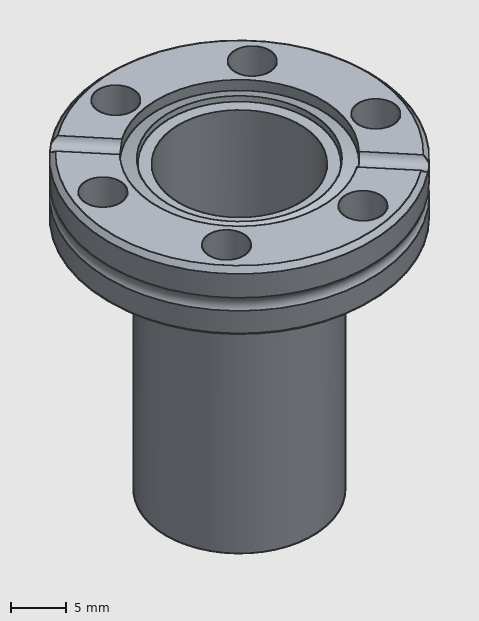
import cadquery as cq
import math

total_height = 38.0
flange_diameter = 34.0
flange_thickness = 7.7
tube_diameter = 19.05
bore_diameter = 15.75
top_chamfer = 0.55
bottom_chamfer = 0.45

rim_groove_start = 3.23
rim_groove_end = 4.7
rim_groove_depth = 0.25

recess_diameter = 21.45
recess_depth = 1.2
knife_diameter = 18.4
knife_tip_depth = 0.65
knife_inner_lean = 0.1

bolt_count = 6
bolt_circle_diameter = 26.98
bolt_hole_diameter = 4.4

leak_groove_width = 2.28
leak_groove_depth = 0.7
leak_groove_angle = 30.0

flange_radius = flange_diameter / 2
tube_radius = tube_diameter / 2
bore_radius = bore_diameter / 2
recess_radius = recess_diameter / 2
knife_radius = knife_diameter / 2
flange_bottom = total_height - flange_thickness
recess_floor = total_height - recess_depth


def turned_body():
    """Revolve the half section of the tube, flange, rim groove and knife edge."""
    rim_groove_middle = (rim_groove_start + rim_groove_end) / 2
    return (
        cq.Workplane("XZ")
        .moveTo(bore_radius, 0)
        .lineTo(tube_radius, 0)
        .lineTo(tube_radius, flange_bottom)
        .lineTo(flange_radius - bottom_chamfer, flange_bottom)
        .lineTo(flange_radius, flange_bottom + bottom_chamfer)
        .lineTo(flange_radius, total_height - rim_groove_end)
        .threePointArc(
            (flange_radius - rim_groove_depth, total_height - rim_groove_middle),
            (flange_radius, total_height - rim_groove_start),
        )
        .lineTo(flange_radius, total_height - top_chamfer)
        .lineTo(flange_radius - top_chamfer, total_height)
        .lineTo(recess_radius, total_height)
        .lineTo(recess_radius, recess_floor)
        .lineTo(knife_radius, total_height - knife_tip_depth)
        .lineTo(knife_radius - knife_inner_lean, recess_floor)
        .lineTo(bore_radius, recess_floor)
        .close()
        .revolve(360, (0, 0), (0, 1))
    )


def bolt_holes():
    """Cylinders passing through the flange on the bolt circle."""
    return (
        cq.Workplane("XY")
        .workplane(offset=flange_bottom)
        .polarArray(bolt_circle_diameter / 2, 0, 360, bolt_count)
        .circle(bolt_hole_diameter / 2)
        .extrude(flange_thickness)
    )


def leak_groove(angle):
    """Radial cylinder from inside the recess to the rim, cutting a shallow arc in the top face."""
    half_width = leak_groove_width / 2
    radius = (half_width**2 + leak_groove_depth**2) / (2 * leak_groove_depth)
    start_radius = (knife_radius + recess_radius) / 2
    axis_height = total_height - leak_groove_depth + radius
    direction = cq.Vector(math.cos(math.radians(angle)), math.sin(math.radians(angle)), 0)
    start = direction * start_radius + cq.Vector(0, 0, axis_height)
    return cq.Solid.makeCylinder(radius, flange_radius, start, direction)


result = turned_body().cut(bolt_holes())
for groove_angle in (leak_groove_angle, leak_groove_angle + 180):
    result = result.cut(cq.Workplane(obj=leak_groove(groove_angle)))